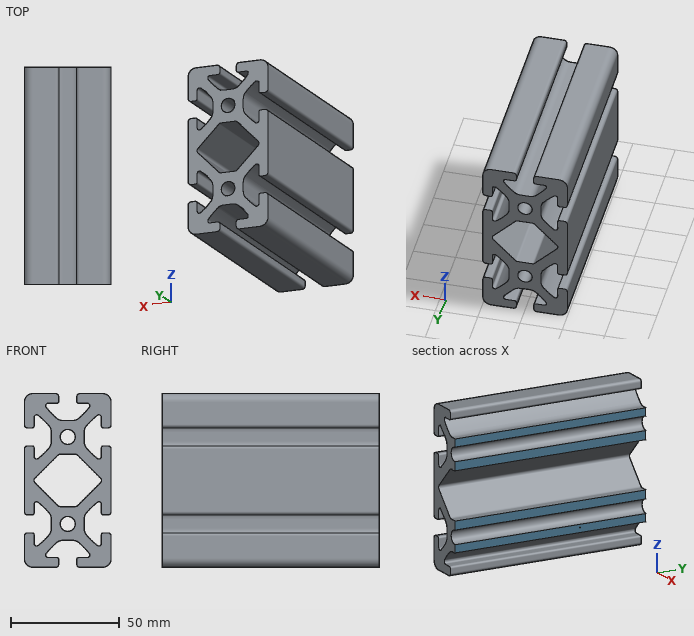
import cadquery as cq
import math

cell = 40.0
width = cell
height = 2 * cell
length = 100.0
corner_radius = 4.0

slot_half_width = 4.1
lip_thickness = 4.6
lip_outer_radius = 1.5
lip_inner_radius = 1.0
slot_inner_half_width = 10.1
slot_corner_radius = 1.0
core_half_width = 7.6
core_radius = 4.5
web_offset = 3.8
flank_bow = 0.3

bore_diameter = 6.8

cavity_reach = 16.1
cavity_half_height = 12.0
cavity_radius = 1.5

overlap = 5.0

cell_centers = [-cell / 2, cell / 2]


def extrude_section(sketch):
    """Extrude a closed XZ section along Y over the full length, centered on the origin."""
    return sketch.extrude(length / 2, both=True)


def round_edge_pair(body, x, z, radius):
    """Fillet the two lengthwise edges nearest to (x, z) and (-x, z)."""
    lengthwise = body.edges("|Y")
    edges = [
        lengthwise.edges(cq.selectors.NearestToPointSelector((side * x, 0, z))).val()
        for side in (-1, 1)
    ]
    return body.newObject(edges).fillet(radius)


def make_slot():
    """T-slot cutter opening upwards, for a cell centered on the origin."""
    face = cell / 2
    lip = face - lip_thickness
    flank_bottom = core_half_width - web_offset
    flank_top = slot_inner_half_width + web_offset
    bow_shift = flank_bow / math.sqrt(2)
    flank_middle = (
        (flank_bottom + slot_inner_half_width) / 2 + bow_shift,
        (core_half_width + flank_top) / 2 - bow_shift,
    )
    half_slot = extrude_section(
        cq.Workplane("XZ")
        .moveTo(0, core_half_width)
        .lineTo(flank_bottom, core_half_width)
        .threePointArc(flank_middle, (slot_inner_half_width, flank_top))
        .lineTo(slot_inner_half_width, lip)
        .lineTo(slot_half_width, lip)
        .lineTo(slot_half_width, face)
        .lineTo(slot_half_width + overlap, face)
        .lineTo(slot_half_width + overlap, face + overlap)
        .lineTo(0, face + overlap)
        .close()
    )
    slot = half_slot.union(half_slot.mirror("YZ")).clean()
    slot = round_edge_pair(slot, flank_bottom, core_half_width, core_radius)
    slot = round_edge_pair(slot, slot_inner_half_width, flank_top, slot_corner_radius)
    slot = round_edge_pair(slot, slot_inner_half_width, lip, slot_corner_radius)
    slot = round_edge_pair(slot, slot_half_width, lip, lip_inner_radius)
    return round_edge_pair(slot, slot_half_width, face, lip_outer_radius)


def place_slot(slot, angle, center_z):
    """Turn the slot cutter about Y and move it to the cell at center_z."""
    return slot.rotate((0, 0, 0), (0, 1, 0), angle).translate((0, 0, center_z))


def make_cavity():
    """Diamond with 45 degree flanks, cut flat at the top and bottom and rounded at every corner."""
    flat_half_width = cavity_reach - cavity_half_height
    outline = [
        (flat_half_width, -cavity_half_height),
        (cavity_reach, 0),
        (flat_half_width, cavity_half_height),
        (-flat_half_width, cavity_half_height),
        (-cavity_reach, 0),
        (-flat_half_width, -cavity_half_height),
    ]
    cavity = extrude_section(cq.Workplane("XZ").polyline(outline).close())
    return cavity.edges("|Y").fillet(cavity_radius)


body = cq.Workplane("XY").box(width, length, height).edges("|Y").fillet(corner_radius)

slot = make_slot()
for center_z in cell_centers:
    end_angle = 0 if center_z > 0 else 180
    for angle in (90, -90, end_angle):
        body = body.cut(place_slot(slot, angle, center_z))

body = body.cut(make_cavity())

bore = extrude_section(cq.Workplane("XZ").circle(bore_diameter / 2))
for center_z in cell_centers:
    body = body.cut(bore.translate((0, 0, center_z)))

result = body